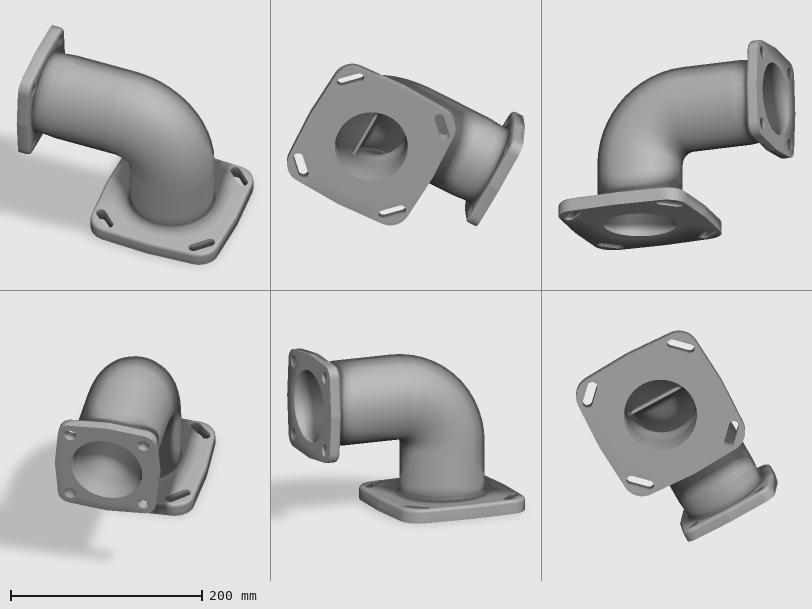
import cadquery as cq
import math

axis_height = 120.5
inlet_face_x = -152.5
bend_radius = 53.7
pipe_radius = 44.6
bore_radius = 38.0
bend_start_x = -bend_radius
bend_end_z = axis_height - bend_radius

base_half_width = 73.0
base_side_slope = 0.05
base_corner_radius = 21.2
base_thickness = 14.7
slot_circle_radius = 76.9
slot_width = 10.4
slot_length = 29.3
base_root_fillet = 3.2

inlet_half_width = 55.7
inlet_side_slope = 0.085
inlet_corner_radius = 13.0
inlet_thickness = 12.5
bolt_spacing = 78.5
bolt_hole_diameter = 12.8
neck_radius = 42.8
neck_length = 33.1
neck_end_x = inlet_face_x + neck_length
inlet_root_fillet = 2.3

flange_edge_fillet = 3.5

vane_thickness = 3.0
vane_root_fillet = 1.8


def bowed_flange(plane, half_width, slope, corner_radius, thickness):
    """Square plate whose sides bow out to an apex, rounded at the corners and the inner rim."""
    corner = half_width / (1 + slope)
    outline = [
        (half_width, 0), (corner, corner), (0, half_width), (-corner, corner),
        (-half_width, 0), (-corner, -corner), (0, -half_width), (corner, -corner),
    ]
    plate = plane.polyline(outline).close().extrude(thickness)
    for x, y in outline[1::2]:
        corner_edge = plane.plane.toWorldCoords((x, y, thickness / 2)).toTuple()
        plate = plate.edges(cq.selectors.NearestToPointSelector(corner_edge)).fillet(corner_radius)
    inner_face = cq.selectors.DirectionMinMaxSelector(plane.plane.zDir)
    return plate.faces(inner_face).edges().fillet(flange_edge_fillet)


def bent_rod(radius, start_x):
    """Round rod along the elbow centreline, from the base to start_x."""
    upright = cq.Workplane("XY").circle(radius).extrude(bend_end_z)
    bend = (
        cq.Workplane("XY", origin=(0, 0, bend_end_z))
        .circle(radius)
        .revolve(90, (-bend_radius, 0, 0), (-bend_radius, -1, 0))
    )
    level = (
        cq.Workplane("YZ", origin=(start_x, 0, axis_height))
        .circle(radius)
        .extrude(bend_start_x - start_x)
    )
    return upright.union(bend).union(level)


def arc_point(radius, angle):
    """Point in the XZ plane at an angle around the bend centre."""
    return (
        bend_start_x + radius * math.cos(math.radians(angle)),
        bend_end_z + radius * math.sin(math.radians(angle)),
    )


def guide_vane():
    """Round-ended plate along the bend centreline, its sides reaching into the pipe wall."""
    outer = bend_radius + vane_thickness / 2
    inner = bend_radius - vane_thickness / 2
    nose = vane_thickness / 2
    mid_wall_radius = (bore_radius + pipe_radius) / 2
    return (
        cq.Workplane("XZ")
        .moveTo(*arc_point(outer, 0))
        .threePointArc(arc_point(outer, 45), arc_point(outer, 90))
        .threePointArc((bend_start_x - nose, axis_height), arc_point(inner, 90))
        .threePointArc(arc_point(inner, 45), arc_point(inner, 0))
        .threePointArc((0, bend_end_z - nose), arc_point(outer, 0))
        .close()
        .extrude(mid_wall_radius, both=True)
    )


base_flange = bowed_flange(
    cq.Workplane("XY"), base_half_width, base_side_slope, base_corner_radius, base_thickness
)
inlet_flange = bowed_flange(
    cq.Workplane("YZ", origin=(inlet_face_x, 0, axis_height)),
    inlet_half_width, inlet_side_slope, inlet_corner_radius, inlet_thickness,
)

neck = (
    cq.Workplane("XZ")
    .moveTo(inlet_face_x, axis_height)
    .lineTo(inlet_face_x, axis_height + neck_radius)
    .lineTo(inlet_face_x + inlet_thickness, axis_height + neck_radius)
    .lineTo(neck_end_x, axis_height + pipe_radius)
    .lineTo(neck_end_x, axis_height)
    .close()
    .revolve(360, (inlet_face_x, axis_height, 0), (neck_end_x, axis_height, 0))
)

body = bent_rod(pipe_radius, neck_end_x).union(neck).union(base_flange).union(inlet_flange)
base_root = (0, 0, base_thickness)
body = body.edges(cq.selectors.NearestToPointSelector(base_root)).fillet(base_root_fillet)
inlet_root = (inlet_face_x + inlet_thickness, 0, axis_height)
body = body.edges(cq.selectors.NearestToPointSelector(inlet_root)).fillet(inlet_root_fillet)

passage = bent_rod(bore_radius, inlet_face_x).cut(guide_vane())
for side in (-bore_radius, bore_radius):
    vane_roots = cq.selectors.BoxSelector(
        (bend_start_x - vane_thickness, side - vane_thickness, bend_end_z - vane_thickness),
        (vane_thickness, side + vane_thickness, axis_height + vane_thickness),
    )
    passage = passage.edges(vane_roots).fillet(vane_root_fillet)
body = body.cut(passage)

bolt_holes = (
    cq.Workplane("YZ", origin=(inlet_face_x, 0, axis_height))
    .rect(bolt_spacing, bolt_spacing, forConstruction=True)
    .vertices()
    .circle(bolt_hole_diameter / 2)
    .extrude(inlet_thickness)
)

slots = (
    cq.Workplane("XY")
    .polarArray(slot_circle_radius, 45, 360, 4)
    .slot2D(slot_length, slot_width, 90)
    .extrude(base_thickness)
)

result = body.cut(bolt_holes).cut(slots)